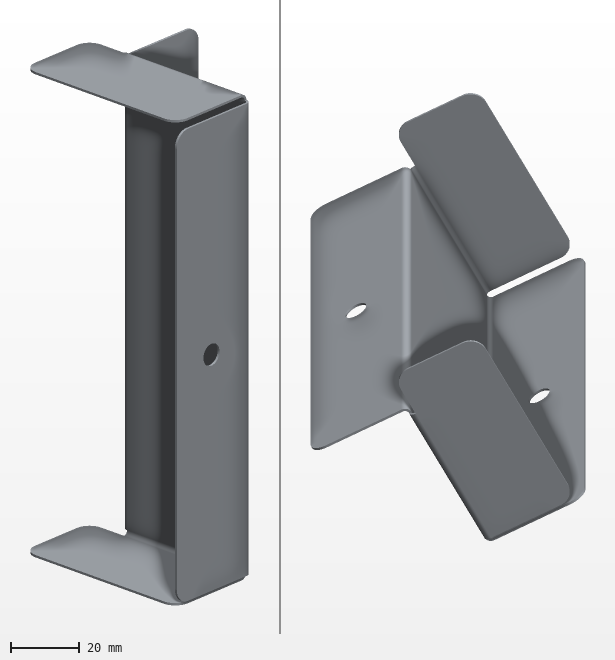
import cadquery as cq


sheet = 0.75
inner_radius = 1.35
bend = inner_radius + sheet

total_height = 154.0
total_width = 62.8
total_depth = 63.8
web_width = 46.7
web_height = total_height - 2 * bend

flange_reach = (total_depth + sheet) / 2
tab_reach = 30.2
tab_length = total_width - bend
corner_radius = 5.0
hole_diameter = 7.0
hole_edge_distance = 15.0

half_web = web_width / 2
half_height = web_height / 2


def box(x_range, y_range, z_range):
    """Axis-aligned block between the given limits."""
    (x0, x1), (y0, y1), (z0, z1) = x_range, y_range, z_range
    return cq.Workplane("XY").box(x1 - x0, y1 - y0, z1 - z0, centered=False).translate((x0, y0, z0))


def quarter_bend(plane, length):
    """Quarter ring in the first quadrant of a plane, extruded along the plane normal."""
    ring = cq.Workplane(plane).circle(bend).circle(inner_radius).extrude(length)
    quadrant = cq.Workplane(plane).rect(bend, bend, centered=False).extrude(length)
    return ring.intersect(quadrant)


def front_flange():
    """Flange on the +X side, bent towards -Y, with its bend."""
    outer_x = half_web + bend
    plate = box((outer_x - sheet, outer_x), (-flange_reach, -bend), (-half_height, half_height))
    plate = plate.edges("|X and <Y").fillet(corner_radius)
    hole = (
        cq.Workplane("YZ", origin=(outer_x - bend, hole_edge_distance - flange_reach, 0))
        .circle(hole_diameter / 2)
        .extrude(2 * bend)
    )
    curve = quarter_bend("XY", web_height).translate((half_web, -bend, -half_height))
    return plate.cut(hole).union(curve)


def top_tab():
    """Tab above the web, bent towards -Y, with its bend."""
    top_z = total_height / 2
    plate = box((half_web - tab_length, half_web), (-tab_reach, -bend), (top_z - sheet, top_z))
    plate = plate.edges("|Z and (<X or <Y)").fillet(corner_radius)
    curve = quarter_bend("YZ", web_width).translate((-half_web, -bend, half_height))
    return plate.union(curve)


web = box((-half_web, half_web), (-sheet, 0), (-half_height, half_height))

right_flange = front_flange()
left_flange = right_flange.rotate((0, -sheet / 2, 0), (0, -sheet / 2, 1), 180)

upper_tab = top_tab()
lower_tab = upper_tab.mirror("XY")

result = web.union(right_flange).union(left_flange).union(upper_tab).union(lower_tab)